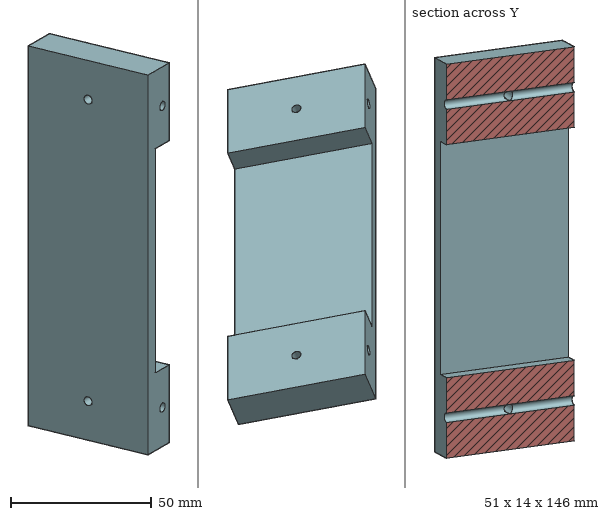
import cadquery as cq

width = 51.0
depth = 14.0
height = 146.0

foot_height = 30.0
recess_depth = 9.0

hole_diameter = 3.4
hole_end_distance = 15.0
side_hole_back_distance = 4.5

recess_height = height - 2 * foot_height
hole_z = height / 2 - hole_end_distance
side_hole_y = depth / 2 - side_hole_back_distance


def make_body():
    """Block centred on the origin with a recess cut into its +Y face."""
    block = cq.Workplane("XY").box(width, depth, height)
    recess = (
        cq.Workplane("XY")
        .box(width, recess_depth, recess_height)
        .translate((0, (depth - recess_depth) / 2, 0))
    )
    return block.cut(recess)


def front_holes():
    """Pair of drills running along Y through the full depth."""
    return (
        cq.Workplane("XZ")
        .pushPoints([(0, hole_z), (0, -hole_z)])
        .circle(hole_diameter / 2)
        .extrude(depth / 2, both=True)
    )


def side_holes():
    """Pair of drills running along X through the full width."""
    return (
        cq.Workplane("YZ")
        .pushPoints([(side_hole_y, hole_z), (side_hole_y, -hole_z)])
        .circle(hole_diameter / 2)
        .extrude(width / 2, both=True)
    )


result = make_body().cut(front_holes()).cut(side_holes())